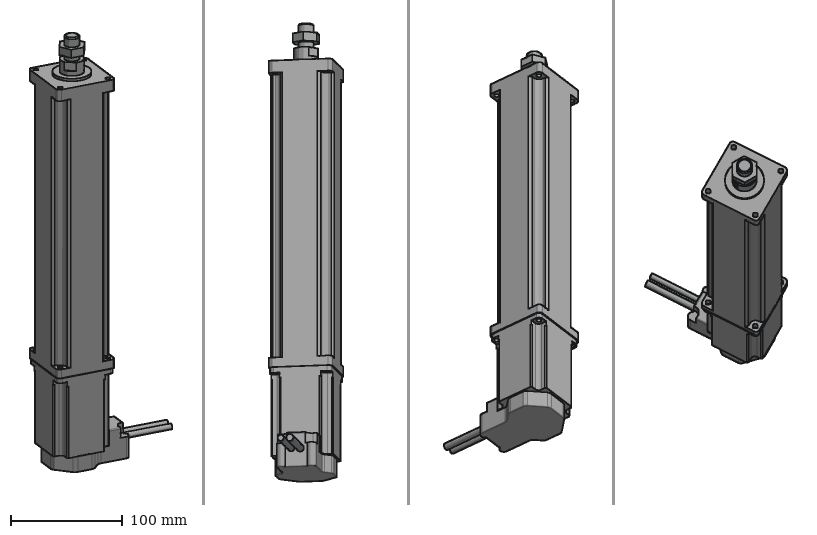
import cadquery as cq
import math


housing_width = 58.0
housing_length = 279.2
housing_corner_radius = 3.5
head_flange_thickness = 11.0
tail_flange_thickness = 8.7
boss_diameter = 35.0
boss_height = 2.5
mount_hole_diameter = 4.5
mount_hole_offset = 24.0
groove_wall = 18.4
groove_radius = 6.0
groove_bevel = 2.4

rod_diameter = 22.0
rod_length = 12.5
wrench_width = 19.0
wrench_flat_length = 8.0
wrench_flat_angle = -36.0
thread_diameter = 14.0
thread_length = 22.5
thread_chamfer = 1.3
nut_width = 22.0
nut_height = 8.0
nut_standoff = 5.5

motor_width = 56.4
motor_length = 78.8
motor_corner_radius = 4.0
motor_flange_thickness = 5.0
motor_cover_thickness = 4.5
motor_groove_wall = 18.9
motor_groove_radius = 4.0
motor_groove_bevel = 1.3

cap_length = 16.0
cap_width = 53.2
cap_front = 25.9
cap_back = 24.6
cap_bevel = 15.8
cap_edge_radius = 5.5
cap_bottom_radius = 0.5
box_half_width = 18.0
box_face = 47.2
box_shoulder_height = 21.2
box_height = 31.2
box_top_radius = 1.0
box_blend_radius = 5.5
lobe_radius = 4.2
lobe_x = box_half_width - lobe_radius
lobe_y = 45.4
lobe_relief_radius = 5.7

total_depth = 126.32
cable_end = total_depth - housing_width / 2
cable_height = 16.5
cables = [(-3.9, 6.5), (4.3, 5.5)]

housing_bottom = -housing_length
motor_bottom = housing_bottom - motor_length
cap_bottom = motor_bottom - cap_length
corner_angles = [0, 90, 180, 270]
cutter_margin = 1.0


def square_bar(width, corner_radius, bottom, length):
    bar = cq.Workplane("XY").workplane(offset=bottom).rect(width, width).extrude(length)
    return bar.edges("|Z").fillet(corner_radius)


def cut_at_corners(body, cutter):
    for angle in corner_angles:
        body = body.cut(cutter.rotate((0, 0, 0), (0, 0, 1), angle))
    return body


def mount_holes(bottom, length):
    return (
        cq.Workplane("XY").workplane(offset=bottom)
        .rect(2 * mount_hole_offset, 2 * mount_hole_offset, forConstruction=True)
        .vertices().circle(mount_hole_diameter / 2).extrude(length)
    )


def corner_groove(face, wall, radius, bottom, top):
    """Cutter for the (+X, +Y) corner: two walls tangent to a round bottom.

    The side faces of the bar lie at the distance `face` from the axis."""
    outside = face + cutter_margin
    tangent = wall + radius
    middle = wall + radius * (1 - math.sqrt(0.5))
    return (
        cq.Workplane("XY").workplane(offset=bottom)
        .moveTo(outside, outside)
        .lineTo(wall, outside)
        .lineTo(wall, tangent)
        .threePointArc((middle, middle), (tangent, wall))
        .lineTo(outside, wall)
        .close()
        .extrude(top - bottom)
    )


def mouth_bevels(face, wall, bevel, bottom, top):
    """Cutter that bevels both mouth edges of the (+X, +Y) corner groove."""
    mouth = wall - bevel
    outline = [(mouth, face), (wall, face - bevel), (face - bevel, wall), (face, mouth), (face, face)]
    return cq.Workplane("XY").workplane(offset=bottom).polyline(outline).close().extrude(top - bottom)


def build_housing():
    face = housing_width / 2
    bottom = housing_bottom + tail_flange_thickness
    top = -head_flange_thickness
    housing = square_bar(housing_width, housing_corner_radius, housing_bottom, housing_length)
    housing = cut_at_corners(housing, corner_groove(face, groove_wall, groove_radius, bottom, top))
    housing = cut_at_corners(housing, mouth_bevels(face, groove_wall, groove_bevel, bottom, top))
    housing = housing.cut(mount_holes(housing_bottom, housing_length))
    boss = cq.Workplane("XY").circle(boss_diameter / 2).extrude(boss_height)
    return housing.union(boss)


def build_rod():
    shoulder = boss_height + rod_length
    shank = cq.Workplane("XY").workplane(offset=boss_height).circle(rod_diameter / 2).extrude(rod_length)
    flats = (
        cq.Workplane("XY").workplane(offset=shoulder - wrench_flat_length)
        .rect(3 * rod_diameter, 3 * rod_diameter).rect(wrench_width, 2 * rod_diameter)
        .extrude(wrench_flat_length)
        .rotate((0, 0, 0), (0, 0, 1), wrench_flat_angle)
    )
    thread = (
        cq.Workplane("XY").workplane(offset=shoulder)
        .circle(thread_diameter / 2).extrude(thread_length)
        .faces(">Z").chamfer(thread_chamfer)
    )
    nut = (
        cq.Workplane("XY").workplane(offset=shoulder + nut_standoff)
        .polygon(6, nut_width, circumscribed=True).extrude(nut_height)
    )
    return shank.cut(flats).union(thread).union(nut)


def motor_body():
    face = motor_width / 2
    cover_top = housing_bottom - motor_flange_thickness
    cover_bottom = cover_top - motor_cover_thickness
    groove = corner_groove(face, motor_groove_wall, motor_groove_radius, motor_bottom, cover_top)
    bevels = mouth_bevels(face, motor_groove_wall, motor_groove_bevel, motor_bottom, cover_bottom)
    body = square_bar(motor_width, motor_corner_radius, motor_bottom, motor_length)
    body = cut_at_corners(body, groove)
    body = cut_at_corners(body, bevels)
    return body.cut(mount_holes(motor_bottom, motor_length))


def block(half_width, start_y, end_y, bottom, height):
    """Box centred on X = 0 between two Y positions."""
    return (
        cq.Workplane("XY").workplane(offset=bottom)
        .center(0, (start_y + end_y) / 2).rect(2 * half_width, end_y - start_y).extrude(height)
    )


def lobe_cylinders(radius, bottom, height):
    return (
        cq.Workplane("XY").workplane(offset=bottom)
        .pushPoints([(side * lobe_x, lobe_y) for side in (-1, 1)])
        .circle(radius).extrude(height)
    )


def lobed_box(start_y, bottom, height):
    """Part of the cable box with rounded screw lobes at its two far corners."""
    sides = block(box_half_width, start_y, lobe_y, bottom, height)
    front = block(lobe_x, start_y, box_face, bottom, height)
    return sides.union(front).union(lobe_cylinders(lobe_radius, bottom, height))


def end_cap():
    """Octagonal cap, merged with the lower part of the cable box."""
    cap = (
        block(cap_width / 2, -cap_front, cap_back, cap_bottom, cap_length)
        .edges("|Z").chamfer(cap_bevel)
        .edges("|Z").fillet(cap_edge_radius)
    )
    cap = cap.union(lobed_box(0, cap_bottom, cap_length))
    inner_corner_y = cap_back + cap_width / 2 - cap_bevel - box_half_width
    for side in (-1, 1):
        corner = cq.selectors.NearestToPointSelector(
            (side * box_half_width, inner_corner_y, cap_bottom + cap_length / 2))
        cap = cap.edges("|Z").edges(corner).fillet(box_blend_radius)
    return cap.faces("<Z").edges().fillet(cap_bottom_radius)


def upper_box():
    """Cable box beside the motor: a lobed shoulder and a top relieved around the screws."""
    start_y = motor_width / 2
    height = box_height - cap_length
    shoulder = lobed_box(start_y, motor_bottom, box_shoulder_height - cap_length)
    top = block(box_half_width, start_y, box_face, motor_bottom, height)
    top = top.faces(">Z").edges("not <Y").fillet(box_top_radius)
    relief = lobe_cylinders(lobe_relief_radius, motor_bottom, height)
    corners = block(box_half_width, lobe_y - lobe_relief_radius, box_face, motor_bottom, height)
    corners = corners.cut(block(lobe_x, lobe_y - lobe_relief_radius, box_face, motor_bottom, height))
    return shoulder.union(top.cut(relief).cut(corners))


def cable(x, diameter):
    start = motor_width / 2
    return (
        cq.Workplane("XZ", origin=(x, start, cap_bottom + cable_height))
        .circle(diameter / 2).extrude(start - cable_end)
    )


def build_motor():
    motor = motor_body().union(end_cap()).union(upper_box())
    for x, diameter in cables:
        motor = motor.union(cable(x, diameter))
    return motor


housing = build_housing()
rod = build_rod()
motor = build_motor()

result = cq.Compound.makeCompound([housing.val(), rod.val(), motor.val()])